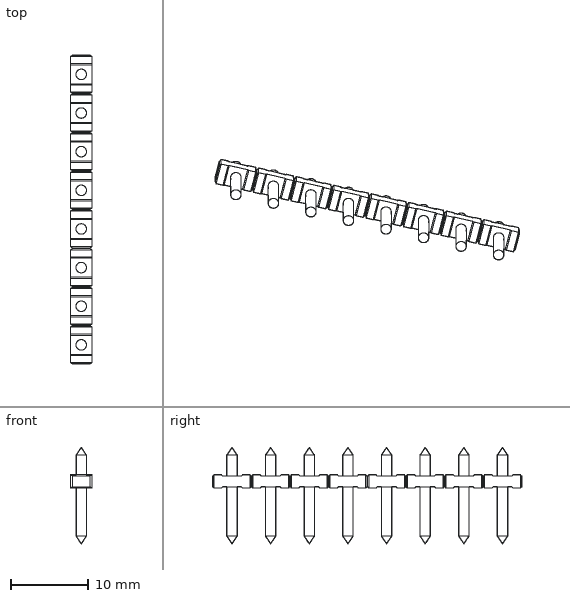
import cadquery as cq

pin_count = 8
strip_length = 40.0
pitch = strip_length / pin_count

pin_length = 12.5
pin_diameter = 1.35
tip_length = 1.0
pin_below_block = 7.2

stub_length = 0.06

block_length = pitch - 2 * stub_length
block_width = 2.8
block_height = 1.75

bevel_length = 0.14
bevel_side_depth = 0.25
bevel_height_depth = 0.15

trough_depth = 0.15
trough_floor_length = 2.45
trough_mouth_length = 2.75

end_width = block_width - 2 * bevel_side_depth
end_height = block_height - 2 * bevel_height_depth
mid_height = block_height / 2


def make_block_end():
    """Tapered end piece running from Y = 0 at full section to the smaller end face."""
    return (
        cq.Workplane("XZ", origin=(0, 0, mid_height))
        .rect(block_width, block_height)
        .workplane(offset=bevel_length)
        .rect(end_width, end_height)
        .loft(ruled=True)
    )


def make_block():
    """Insulator block centred on Y = 0: a troughed bar with a tapered piece on each end."""
    half_bar = block_length / 2 - bevel_length
    half_mouth = trough_mouth_length / 2
    half_floor = trough_floor_length / 2
    floor_height = block_height - trough_depth
    upper_edge = [
        (half_bar, block_height),
        (half_mouth, block_height),
        (half_floor, floor_height),
        (-half_floor, floor_height),
        (-half_mouth, block_height),
        (-half_bar, block_height),
    ]
    lower_edge = [(-y, block_height - z) for y, z in upper_edge]
    bar = cq.Workplane("YZ").polyline(upper_edge + lower_edge).close().extrude(block_width / 2, both=True)

    front_end = make_block_end().translate((0, -half_bar, 0))
    return bar.union(front_end).union(front_end.mirror("XZ"))


def make_pin():
    """Pin turned about the Z axis, pointed at both ends."""
    radius = pin_diameter / 2
    pin = (
        cq.Workplane("XZ")
        .polyline([(0, 0), (radius, tip_length), (radius, pin_length - tip_length), (0, pin_length)])
        .close()
        .revolve(360, (0, 0, 0), (0, 1, 0))
    )
    return pin.translate((0, 0, -pin_below_block))


stubs = cq.Workplane("XY").box(end_width, pitch, end_height).translate((0, 0, mid_height))
position = make_block().union(stubs).union(make_pin())

first_y = -pitch * (pin_count - 1) / 2
result = position.translate((0, first_y, 0))
for index in range(1, pin_count):
    result = result.union(position.translate((0, first_y + index * pitch, 0)))